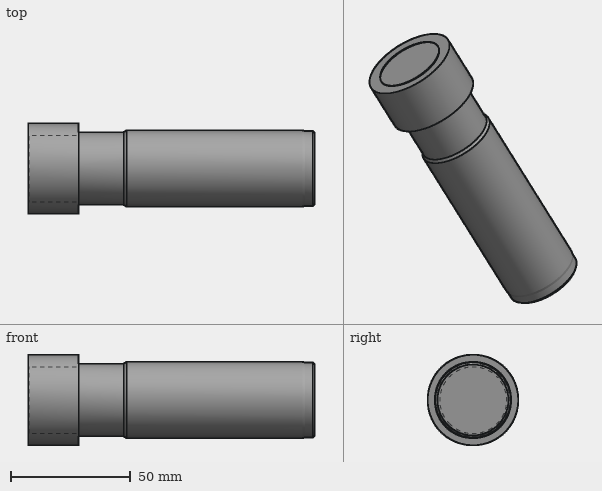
import cadquery as cq

total_length = 120
collar_diameter = 38.0
collar_length = 21.1

spigot_diameter = 28.0
spigot_recess = 0.4
neck_diameter = 30.5
neck_end = 40.0
body_diameter = 32.0
body_start = 41.3
body_end = 114.7
tip_diameter = 31.5
tip_start = 115.8
tip_chamfer = 1.0


def make_collar():
    """Plain ring whose bore fits the spigot."""
    return (
        cq.Workplane("YZ")
        .circle(collar_diameter / 2)
        .circle(spigot_diameter / 2)
        .extrude(collar_length)
    )


def make_pin():
    """Turned pin with short cones between the neck, the body and the tip."""
    profile = [
        (spigot_recess, 0),
        (spigot_recess, spigot_diameter / 2),
        (collar_length, spigot_diameter / 2),
        (collar_length, neck_diameter / 2),
        (neck_end, neck_diameter / 2),
        (body_start, body_diameter / 2),
        (body_end, body_diameter / 2),
        (tip_start, tip_diameter / 2),
        (total_length - tip_chamfer, tip_diameter / 2),
        (total_length, tip_diameter / 2 - tip_chamfer),
        (total_length, 0),
    ]
    return cq.Workplane("XY").polyline(profile).close().revolve(360, (0, 0, 0), (1, 0, 0))


collar = make_collar()
pin = make_pin()

result = cq.Compound.makeCompound([collar.val(), pin.val()])